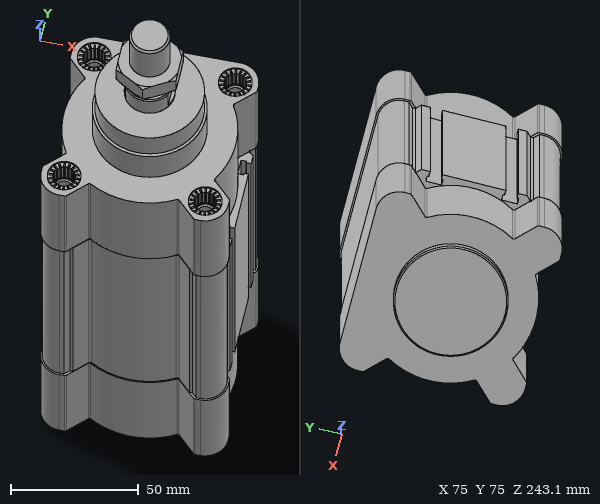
import cadquery as cq
import math


total_height = 243.1
rear_boss_height = 4.0
body_length = 171.0
cap_length = 40.5
tube_length = body_length - 2 * cap_length
tube_bottom = rear_boss_height + cap_length
tube_top = tube_bottom + tube_length
body_top = rear_boss_height + body_length

cap_half = 75.0 / 2
screw_offset = 56.5 / 2
cap_barrel_radius = 34.5
cap_notch_shift = 11.8
cap_notch_edge = cap_half - cap_notch_shift
cap_notch_root_fillet = 0.8
cap_notch_edge_fillet = 1.0

tube_half = 36.8
tube_barrel_radius = 34.0
tube_notch_shift = 11.6
tube_notch_edge = 26.4
tube_notch_root_fillet = 1.2
shelf = 34.9
shelf_inner = shelf - tube_notch_shift
shelf_outer = tube_notch_edge - (tube_half - shelf)
lip_edge = shelf_inner - (tube_half - shelf)

slot_centre = 15.3
slot_mouth_width = 5.0
slot_inner_width = 6.4
slot_lip_depth = 2.0
slot_floor = 32.6

boss_radius = 45.0 / 2
boss_chamfer = 0.6
collar_shoulder_height = 15.0
collar_height = 27.0
collar_bevel_height = 0.5
collar_rim_radius = 21.5
collar_waist_radius = 21.2

screw_recess_radius = 13.2 / 2
screw_recess_depth = 0.7
flute_outer_radius = 12.0 / 2
socket_radius = 8.8 / 2
socket_depth = 8.0
flute_count = 18
flute_width = 0.7
bore_mouth_radius = 8.0 / 2
bore_radius = 6.65 / 2
bore_mouth_depth = 8.5
bore_depth = 20.0
bore_cone_height = 2.0

rod_radius = 20.0 / 2
rod_chamfer = 0.5
flats_width = 17.0
flats_height = 8.0
thread_length = 32.0
rod_shoulder = total_height - thread_length
thread_radius = 16.0 / 2
thread_tip_radius = 14.38 / 2
thread_tip_chamfer = 1.0
thread_root_radius = 14.38 / 2
undercut_radius = 13.9 / 2
undercut_flare_radius = 14.95 / 2
undercut_flare_bottom = rod_shoulder + 0.6
undercut_bottom = rod_shoulder + 1.3
undercut_top = rod_shoulder + 2.7
thread_runout_bottom = rod_shoulder + 3.4
thread_runout_top = rod_shoulder + 6.1

nut_flats = 24.0
nut_corner_radius = nut_flats / 2 / math.cos(math.pi / 6)
nut_height = 8.0
nut_bottom = thread_runout_top
nut_face_radius = 12.5
nut_chamfer_height = (nut_corner_radius - nut_face_radius) * math.tan(math.radians(30))


def turned(shape, angle):
    """Shape turned about the cylinder axis."""
    return shape.rotate((0, 0, 0), (0, 0, 1), angle)


def revolved(profile):
    """Solid of revolution about Z from a closed (radius, height) profile."""
    return profile.close().revolve(360, (0, 0, 0), (0, 1, 0))


def prism(points, length):
    return cq.Workplane("XY").polyline(points).close().extrude(length)


def rounded_block(half, length):
    """Square block whose corners are rounded about the corner screws."""
    block = cq.Workplane("XY").rect(2 * half, 2 * half).extrude(length)
    return block.edges("|Z").fillet(half - screw_offset)


def barrel_notch(shift, side_points, barrel_radius, root_fillet, length):
    """Cutter for the -Y side that leaves the round barrel standing between two corners."""
    outside = side_points[-1][0], -2 * cap_half
    right_side = [(0, -shift)] + side_points + [outside]
    left_side = [(-x, y) for x, y in reversed(right_side[1:])]
    barrel = cq.Workplane("XY").circle(barrel_radius).extrude(length)
    cutter = prism(right_side + left_side, length).cut(barrel)
    root_x = (math.sqrt(2 * barrel_radius**2 - shift**2) - shift) / 2
    root_y = -(root_x + shift)
    for x in (-root_x, root_x):
        cutter = cutter.edges(cq.NearestToPointSelector((x, root_y, length / 2))).fillet(root_fillet)
    return cutter


def end_cap():
    """Cap with a flat +Y side and barrel notches on the other three sides."""
    block = rounded_block(cap_half, cap_length)
    notch = barrel_notch(
        cap_notch_shift,
        [(cap_notch_edge, -cap_half)],
        cap_barrel_radius,
        cap_notch_root_fillet,
        cap_length,
    )
    for angle in (0, 90, -90):
        block = block.cut(turned(notch, angle))
    corners = [(s * cap_notch_edge, -cap_half) for s in (-1, 1)]
    corners += [(s * cap_half, t * cap_notch_edge) for s in (-1, 1) for t in (-1, 1)]
    for x, y in corners:
        edge = cq.NearestToPointSelector((x, y, cap_length / 2))
        block = block.edges("|Z").edges(edge).fillet(cap_notch_edge_fillet)
    return block


def slot_cutter(width, outer):
    """Straight slot from the slot floor out to the given distance from the axis."""
    box = cq.Workplane("XY").center(slot_centre, -(outer + slot_floor) / 2)
    return box.rect(width, outer - slot_floor).extrude(tube_length)


def profile_tube():
    """Tube with a barrel notch on -Y and two slotted pads with grooves on -X and +X."""
    block = rounded_block(tube_half, tube_length)
    shelf_points = [(shelf_inner, -shelf), (shelf_outer, -shelf), (tube_notch_edge, -tube_half)]
    block = block.cut(
        barrel_notch(
            tube_notch_shift, shelf_points, tube_barrel_radius, tube_notch_root_fillet, tube_length
        )
    )
    groove = prism(shelf_points + [(lip_edge, -tube_half)], tube_length)
    mouth = slot_cutter(slot_mouth_width, tube_half)
    inner = slot_cutter(slot_inner_width, tube_half - slot_lip_depth)
    half_side = groove.union(mouth).union(inner)
    side = half_side.union(half_side.mirror("YZ"))
    for angle in (90, -90):
        block = block.cut(turned(side, angle))
    return block


def front_collar():
    """Collar with a bevelled shoulder and a slightly waisted nose."""
    shoulder = body_top + collar_shoulder_height
    nose_bottom = shoulder + collar_bevel_height
    nose_top = body_top + collar_height
    return revolved(
        cq.Workplane("XZ")
        .moveTo(0, body_top)
        .lineTo(boss_radius, body_top)
        .lineTo(boss_radius, shoulder)
        .lineTo(collar_rim_radius, nose_bottom)
        .threePointArc(
            (collar_waist_radius, (nose_bottom + nose_top) / 2), (collar_rim_radius, nose_top)
        )
        .lineTo(0, nose_top)
    )


def screw_recess():
    """Recess, fluted socket and bore of one corner screw, cut down from height 0."""
    recess = cq.Workplane("XY").circle(screw_recess_radius).extrude(-screw_recess_depth)
    socket = cq.Workplane("XY").circle(socket_radius).extrude(-socket_depth)
    flutes = (
        cq.Workplane("XY")
        .polarArray((socket_radius + flute_outer_radius) / 2, 0, 360, flute_count)
        .rect(flute_outer_radius - socket_radius, flute_width)
        .extrude(-socket_depth)
    )
    mouth_bevel = bore_mouth_radius - bore_radius
    bore = revolved(
        cq.Workplane("XZ").polyline(
            [
                (0, 0),
                (bore_mouth_radius, 0),
                (bore_mouth_radius, -bore_mouth_depth),
                (bore_radius, -bore_mouth_depth - mouth_bevel),
                (bore_radius, -bore_depth),
                (0, -bore_depth - bore_cone_height),
            ]
        )
    )
    return recess.union(socket).union(flutes).union(bore)


def make_housing():
    """Caps, tube, collar and rear boss in one piece, bored for the rod down to the tube."""
    cap = end_cap()
    body = profile_tube().translate((0, 0, tube_bottom))
    for height in (rear_boss_height, tube_top):
        body = body.union(cap.translate((0, 0, height)))
    rear_boss = cq.Workplane("XY").circle(boss_radius).extrude(rear_boss_height)
    body = body.union(rear_boss.faces("<Z").chamfer(boss_chamfer)).union(front_collar())
    recess = screw_recess()
    for x in (-screw_offset, screw_offset):
        for y in (-screw_offset, screw_offset):
            body = body.cut(recess.translate((x, y, body_top)))
    rod_bore = cq.Workplane("XY", origin=(0, 0, tube_top)).circle(rod_radius)
    return body.cut(rod_bore.extrude(cap_length + collar_height))


def make_rod():
    """Rod with two wrench flats, an undercut and a plain thread."""
    rod = revolved(
        cq.Workplane("XZ").polyline(
            [
                (0, tube_top),
                (rod_radius, tube_top),
                (rod_radius, rod_shoulder - rod_chamfer),
                (rod_radius - rod_chamfer, rod_shoulder),
                (undercut_flare_radius, rod_shoulder),
                (undercut_flare_radius, undercut_flare_bottom),
                (undercut_radius, undercut_bottom),
                (undercut_radius, undercut_top),
                (thread_root_radius, thread_runout_bottom),
                (thread_radius, thread_runout_top),
                (thread_radius, total_height - thread_tip_chamfer),
                (thread_tip_radius, total_height),
                (0, total_height),
            ]
        )
    )
    flats_bottom = cq.Workplane("XY", origin=(0, 0, rod_shoulder - flats_height))
    for side in (-1, 1):
        flat = flats_bottom.center(side * (flats_width + rod_radius) / 2, 0)
        rod = rod.cut(flat.rect(rod_radius, 2 * rod_radius).extrude(flats_height))
    return rod


def make_nut():
    """Hexagon nut with corners on the Y axis, chamfered at both ends."""
    hexagon = cq.Workplane("XY").polygon(6, 2 * nut_corner_radius).extrude(nut_height)
    envelope = revolved(
        cq.Workplane("XZ").polyline(
            [
                (0, 0),
                (nut_face_radius, 0),
                (nut_corner_radius, nut_chamfer_height),
                (nut_corner_radius, nut_height - nut_chamfer_height),
                (nut_face_radius, nut_height),
                (0, nut_height),
            ]
        )
    )
    bore = cq.Workplane("XY").circle(thread_radius).extrude(nut_height)
    nut = turned(hexagon, 90).intersect(envelope).cut(bore)
    return nut.translate((0, 0, nut_bottom))


housing = make_housing()
rod = make_rod()
nut = make_nut()
result = cq.Compound.makeCompound([housing.val(), rod.val(), nut.val()])